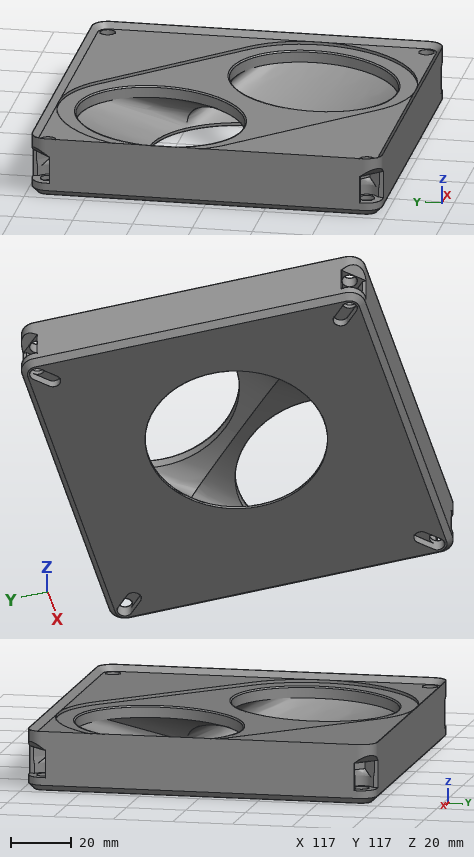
import cadquery as cq
import math

side = 117.0
height = 20.0
corner_radius = 5.4
edge_chamfer = 2.0
half_side = side / 2

nest_floor_z = height - edge_chamfer

port_angles = (-45, 135)
port_offset = 30.5
port_long_radius = 31.2
port_short_radius = 26.0
port_chamfer = 0.5
collar_depth = 4.0

gasket_margin = 6.3
gasket_depth = 1.0
gasket_floor_z = nest_floor_z - gasket_depth
collar_bottom_z = gasket_floor_z - collar_depth

outlet_radius = 30.0
outlet_x = -8.2
outlet_y = -2.0
outlet_lip = 1.0

hole_position = 53.2
hole_diameter = 5.0

pocket_floor_z = 4.6
pocket_roof_z = 13.7
pocket_opening = 6.7
round_slot_half_width = 3.6
round_slot_top_z = 7.8
square_slot_half_width = 3.9
square_slot_bottom_z = 10.0
slot_reach = 9.4

relief_length = 5.8
relief_depth = 2.9


def make_plate():
    """Rounded square block, chamfered underneath and recessed on top."""
    block = cq.Workplane("XY").rect(side, side).extrude(height).edges("|Z").fillet(corner_radius)
    top_outline = block.faces(">Z").wires().toPending().workplane()
    nest = top_outline.extrude(-edge_chamfer, combine=False, taper=45)
    return block.faces("<Z").chamfer(edge_chamfer).cut(nest)


def port_oval(z, angle, margin=0):
    """Ellipse of one port, widened by a margin, with its long axis across the port diagonal."""
    plane = cq.Workplane("XY", origin=(0, 0, z)).transformed(rotate=(0, 0, angle))
    return plane.center(-port_offset, 0).ellipse(port_short_radius + margin, port_long_radius + margin)


def make_gasket_recess():
    """Two large ovals joined by a straight-sided bridge."""
    bridge_width = 2 * (port_long_radius + gasket_margin)
    plane = cq.Workplane("XY", origin=(0, 0, gasket_floor_z)).transformed(rotate=(0, 0, port_angles[0]))
    recess = plane.rect(2 * port_offset, bridge_width).extrude(gasket_depth)
    for angle in port_angles:
        end = port_oval(gasket_floor_z, angle, gasket_margin).extrude(gasket_depth)
        recess = recess.union(end)
    return recess


def make_port(angle):
    """Oval collar with a chamfered mouth, then a duct that blends into the round outlet."""
    collar = port_oval(collar_bottom_z, angle).extrude(collar_depth)
    mouth = port_oval(gasket_floor_z, angle, port_chamfer).extrude(-port_chamfer, taper=45)
    duct_top = port_oval(collar_bottom_z, angle).wires().val()
    outlet_plane = cq.Workplane("XY", origin=(outlet_x, outlet_y, outlet_lip))
    outlet_plane = outlet_plane.transformed(rotate=(0, 0, angle))
    duct_bottom = outlet_plane.circle(outlet_radius).wires().val()
    duct = cq.Workplane(cq.Solid.makeLoft([duct_top, duct_bottom], True))
    return collar.union(mouth).union(duct)


def make_outlet():
    """Short straight bore where both ducts leave the underside."""
    return cq.Workplane("XY").center(outlet_x, outlet_y).circle(outlet_radius).extrude(outlet_lip)


def screw_plane(z):
    """Plane on the (+X, +Y) screw axis whose x direction points out through the corner."""
    plane = cq.Workplane("XY", origin=(hole_position, hole_position, z))
    return plane.transformed(rotate=(0, 0, 45))


def round_slot(z):
    """Outline of a slot with a round inner end, open towards the corner."""
    width = round_slot_half_width
    outline = screw_plane(z).moveTo(slot_reach, -width).lineTo(0, -width)
    return outline.threePointArc((-width, 0), (0, width)).lineTo(slot_reach, width).close()


def square_slot(z):
    """Outline of a slot with a square inner end, open towards the corner."""
    width = square_slot_half_width
    outline = screw_plane(z).moveTo(slot_reach, -width).lineTo(-width, -width)
    return outline.lineTo(-width, width).lineTo(slot_reach, width).close()


def make_slot():
    """Pocket around the screw axis: round below, square above, with a blend between."""
    lower = round_slot(pocket_floor_z).extrude(round_slot_top_z - pocket_floor_z)
    upper = square_slot(square_slot_bottom_z).extrude(pocket_roof_z - square_slot_bottom_z)
    blend_ends = [round_slot(round_slot_top_z).val(), square_slot(square_slot_bottom_z).val()]
    blend = cq.Workplane(cq.Solid.makeLoft(blend_ends, True))
    return lower.union(blend).union(upper)


def make_corner_clearance():
    """Square notch at the very corner, under a roof that rises outwards at 45 degrees."""
    inner = half_side - pocket_opening
    notch_height = pocket_roof_z - pocket_floor_z
    notch = cq.Workplane("XY", origin=(inner, inner, pocket_floor_z))
    notch = notch.box(pocket_opening, pocket_opening, notch_height, centered=False)
    roof_start = (side - pocket_opening) / math.sqrt(2)
    roof_run = pocket_opening / math.sqrt(2)
    roof = cq.Workplane("XZ").moveTo(roof_start, pocket_roof_z).line(roof_run, 0).line(0, roof_run).close()
    roof = roof.extrude(pocket_opening, both=True).rotate((0, 0, 0), (0, 0, 1), 45)
    return notch.union(roof)


def make_screw_hole():
    """Through hole with a relief slot in the underside."""
    hole = screw_plane(0).circle(hole_diameter / 2).extrude(height)
    relief_plane = screw_plane(0).center(-relief_length / 2, 0)
    relief = relief_plane.slot2D(relief_length + hole_diameter, hole_diameter).extrude(relief_depth)
    return hole.union(relief)


result = make_plate().cut(make_gasket_recess()).cut(make_outlet())
for port_angle in port_angles:
    result = result.cut(make_port(port_angle))

corner_features = (make_slot(), make_corner_clearance(), make_screw_hole())
for quarter_turn in range(4):
    for feature in corner_features:
        result = result.cut(feature.rotate((0, 0, 0), (0, 0, 1), 90 * quarter_turn))